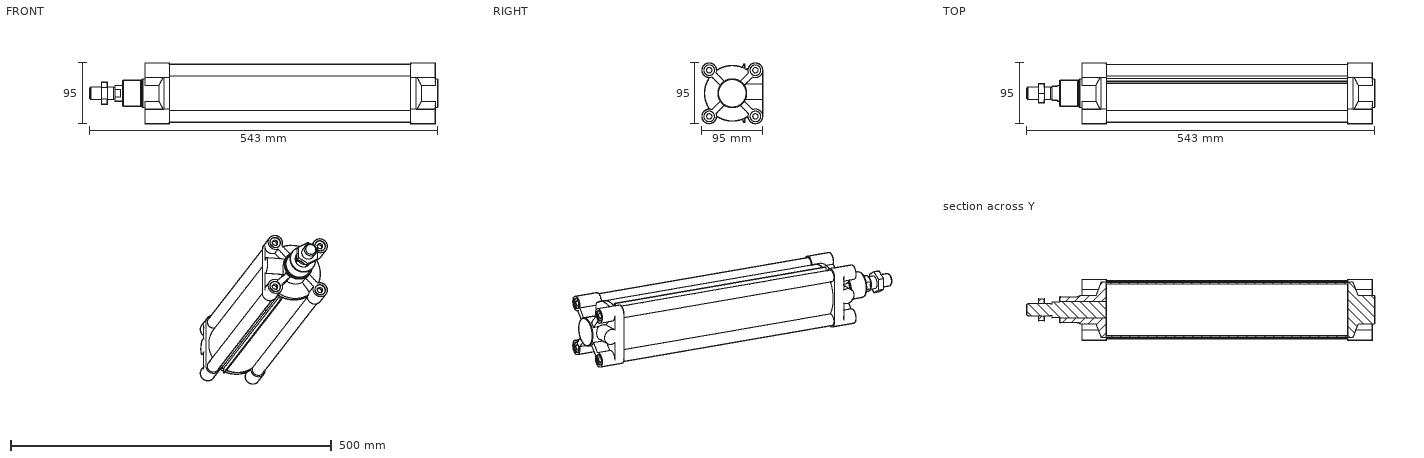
import cadquery as cq
import math

body_length = 453.0
head_size = 95.0
bolt_spacing = 72.0
bolt_offset = bolt_spacing / 2
pillar_diameter = head_size - bolt_spacing

head_length = 38.5
hub_depth = 22.0
rim_depth = 30.0
hub_diameter = 45.0
rim_diameter = 87.0
rib_thickness = 9.0
pilot_length = 4.0
pilot_chamfer = 1.0
port_diameter = 24.5
port_center_x = 16.0
port_center_z = 2.4
recess_diameter = 16.5
recess_depth = 2.0
socket_diameter = 8.38
socket_depth = 6.0

nose_diameter = 41.0
nose_start = -34.5
nose_end = -5.2
nose_chamfer_length = 1.5
nose_chamfer_depth = 0.5

barrel_diameter = 86.0
bore_diameter = 80.0
channel_diameter = 18.5
lip_root_y = 15.5
lip_tip_y = 17.8
lip_outer_y = 19.5
lip_height = 45.5
slot_wall_y = 23.2
slot_wall_height = 38.8

rod_diameter = 25.0
thread_diameter = 20.0
thread_chamfer = 2.0
undercut_diameter = 18.38
rod_tip = -86.0
undercut_start = -48.5
shoulder = -46.5
flats_end = -38.0
flats_width = 22.0
nut_start = -67.5
nut_thickness = 9.0
nut_width = 30.0

CORNERS = [(y * bolt_offset, z * bolt_offset) for y in (-1, 1) for z in (-1, 1)]


def rod_cylinder(diameter, start, end):
    """Solid cylinder on the X axis between two X positions."""
    return cq.Workplane("YZ", origin=(start, 0, 0)).circle(diameter / 2).extrude(end - start)


def revolve_profile(points):
    """Solid of revolution about X from (x, radius) points."""
    return cq.Workplane("XZ").polyline(points).close().revolve(360, (0, 0, 0), (1, 0, 0))


def extrude_profile(points, start, end):
    """Prism along X from (y, z) points, between two X positions."""
    return cq.Workplane("YZ", origin=(start, 0, 0)).polyline(points).close().extrude(end - start)


def circle_height(radius, y):
    """Height above the axis of a circle of this radius at a given y."""
    return math.sqrt(radius**2 - y**2)


def corner_cylinders(diameter, start, end):
    """Cylinders parallel to X at the four bolt positions."""
    base = cq.Workplane("YZ", origin=(start, 0, 0)).pushPoints(CORNERS)
    return base.circle(diameter / 2).extrude(end - start)


def make_port_plate():
    """Plate filling the +Y quarter between two ribs, out to the flat port side."""
    port_side = head_size / 2
    outline = [
        (0, 0),
        (bolt_offset, bolt_offset),
        (port_side, bolt_offset),
        (port_side, -bolt_offset),
        (bolt_offset, -bolt_offset),
    ]
    return extrude_profile(outline, hub_depth, head_length)


def make_head():
    """Head with its mounting face at X = 0 and its barrel face at X = head_length."""
    hub_radius = hub_diameter / 2
    rim_radius = rim_diameter / 2
    head = revolve_profile(
        [
            (-pilot_length, 0),
            (-pilot_length, hub_radius - pilot_chamfer),
            (-pilot_length + pilot_chamfer, hub_radius),
            (hub_depth, hub_radius),
            (rim_depth, rim_radius),
            (head_length, rim_radius),
            (head_length, 0),
        ]
    )
    diagonal = 2 * math.hypot(bolt_offset, bolt_offset)
    for angle in (45, -45):
        rib = cq.Workplane("XY").box(head_length, diagonal, rib_thickness, centered=(False, True, True))
        head = head.union(rib.rotate((0, 0, 0), (1, 0, 0), angle))
    head = head.union(make_port_plate())
    port_base = cq.Workplane("XZ", origin=(port_center_x, 0, port_center_z)).circle(port_diameter / 2)
    head = head.union(port_base.extrude(-head_size / 2))
    head = head.union(corner_cylinders(pillar_diameter, 0, head_length))
    head = head.cut(corner_cylinders(recess_diameter, 0, recess_depth))
    return head.cut(corner_cylinders(socket_diameter, 0, recess_depth + socket_depth))


def make_nose():
    """Rod guide nose, chamfered at both ends, with a short neck down to the pilot."""
    nose_radius = nose_diameter / 2
    edge_radius = nose_radius - nose_chamfer_depth
    return revolve_profile(
        [
            (nose_start, 0),
            (nose_start, edge_radius),
            (nose_start + nose_chamfer_length, nose_radius),
            (nose_end - nose_chamfer_length, nose_radius),
            (nose_end, edge_radius),
            (-pilot_length, edge_radius),
            (-pilot_length, 0),
        ]
    )


def make_front_head():
    """Head with the guide nose and a hole for the rod."""
    head = make_head().union(make_nose())
    return head.cut(rod_cylinder(rod_diameter, nose_start, head_length))


def make_rear_head():
    """Same head, mirrored to face the other end and without the nose or rod hole."""
    return make_head().mirror("YZ").translate((body_length, 0, 0))


def make_slot_walls(start, end):
    """Two walls of the sensor slot on top of the barrel, beside the +Y corner channel."""
    bore_radius = bore_diameter / 2
    barrel_radius = barrel_diameter / 2
    lip = extrude_profile(
        [
            (lip_root_y, circle_height(bore_radius, lip_root_y)),
            (lip_root_y, circle_height(barrel_radius, lip_root_y)),
            (lip_tip_y, lip_height),
            (lip_outer_y, lip_height),
            (lip_outer_y, circle_height(bore_radius, lip_outer_y)),
        ],
        start,
        end,
    )
    web = extrude_profile(
        [
            (slot_wall_y, circle_height(bore_radius, slot_wall_y)),
            (slot_wall_y, slot_wall_height),
            (bolt_offset, slot_wall_height),
            (bolt_offset, bolt_offset),
        ],
        start,
        end,
    )
    return lip.union(web)


def make_barrel():
    """Tube between the heads, with four corner channels and two sensor slots."""
    start = head_length
    end = body_length - head_length
    barrel = rod_cylinder(barrel_diameter, start, end)
    barrel = barrel.union(corner_cylinders(channel_diameter, start, end))
    walls = make_slot_walls(start, end)
    barrel = barrel.union(walls).union(walls.mirror("XY"))
    return barrel.cut(rod_cylinder(bore_diameter, start, end))


def make_rod():
    """Rod with a threaded tip, an undercut and two wrench flats behind it."""
    thread = rod_cylinder(thread_diameter, rod_tip, undercut_start).faces("<X").chamfer(thread_chamfer)
    undercut = rod_cylinder(undercut_diameter, undercut_start, shoulder)
    flat_slab = cq.Workplane("XY", origin=(shoulder, 0, 0)).box(
        flats_end - shoulder, flats_width, rod_diameter, centered=(False, True, True)
    )
    flats = rod_cylinder(rod_diameter, shoulder, flats_end).intersect(flat_slab)
    shank = rod_cylinder(rod_diameter, flats_end, head_length).union(flats)
    return thread.union(undercut).union(shank)


def make_nut():
    """Hexagonal lock nut on the rod thread, with corners pointing up and down."""
    hexagon = cq.Workplane("YZ", origin=(nut_start, 0, 0)).polygon(6, nut_width, circumscribed=True)
    nut = hexagon.extrude(nut_thickness)
    return nut.cut(rod_cylinder(thread_diameter, nut_start, nut_start + nut_thickness))


front_head = make_front_head()
rear_head = make_rear_head()
barrel = make_barrel()
rod = make_rod()
nut = make_nut()

result = cq.Compound.makeCompound([front_head.val(), rear_head.val(), barrel.val(), rod.val(), nut.val()])